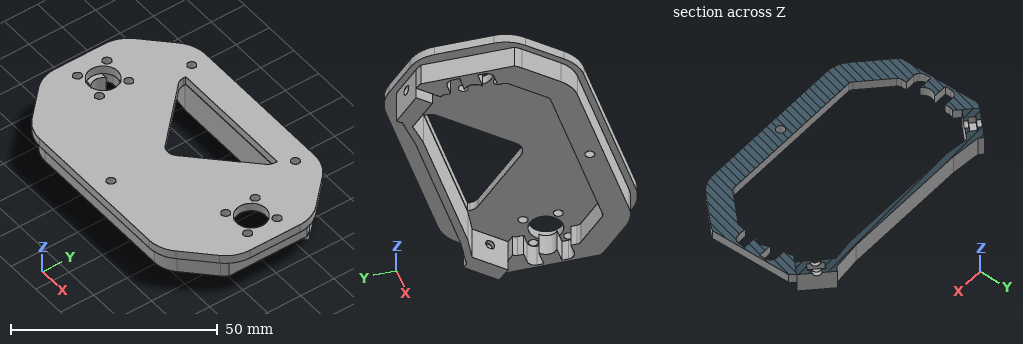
import cadquery as cq
import math

plate_length = 79.2
plate_width = 50.0
corner_cut = 13.4
corner_radius = 10.0
total_height = 11.5
plate_thickness = 2.5
frame_height = 5.95

frame_inset = 1.7
frame_inner_inset = 8.4
frame_half_length = 36.75

small_hole_diameter = 2.4
rear_screw_x = 21.0

mount_x = 30.0
mount_bore = 8.6
mount_hole_spacing = 8.9
notch_size = 11.9
notch_corner_radius = 2.0
tab_width = 4.6
tab_bore = 5.8

window_half_length = 18.5
window_back_y = 16.3
window_apex_y = -2.85
window_corner_diameter = 6.4

block_length = 9.9
block_depth = 4.4
block_hole_height = 6.0
nut_slot_skin = 1.3
nut_slot_thickness = 2.0
nut_slot_width = 4.4

rear_wall_front_y = 16.4
rear_wall_thickness = 2.0
rear_wall_half_length = 18.9

plate_bottom = total_height - plate_thickness
frame_bottom = plate_bottom - frame_height
frame_mid_inset = (frame_inset + frame_inner_inset) / 2
screw_y = plate_width / 2 - frame_mid_inset

screw_points = [(0, -screw_y), (-rear_screw_x, screw_y), (rear_screw_x, screw_y)]
sides = (-1, 1)

sin45 = math.sin(math.pi / 4)
round_tangent = corner_radius * math.tan(math.pi / 8)
block_start_x = plate_length / 2 - (round_tangent + frame_inset) * sin45
block_start_y = plate_width / 2 - corner_cut + (round_tangent - frame_inset) * sin45


def block_point(along, depth):
    """Point of the right-hand block, along the corner cut and inward from it."""
    return (
        block_start_x - (along + depth) * sin45,
        block_start_y + (along - depth) * sin45,
    )


def outline_prism(inset, bottom, height):
    """Prism with the plate outline moved inward by the inset."""
    prism = (
        cq.Workplane("XY")
        .box(plate_length, plate_width, height, centered=(True, True, False))
        .edges("|Z")
        .chamfer(corner_cut)
        .edges("|Z")
        .fillet(corner_radius)
    )
    outline = prism.faces("<Z").wires().val()
    if inset:
        outline = outline.offset2D(-inset)[0]
    face = cq.Face.makeFromWires(outline)
    solid = cq.Solid.extrudeLinear(face, cq.Vector(0, 0, height))
    return cq.Workplane(obj=solid.translate(cq.Vector(0, 0, bottom)))


def upright_cylinders(points, diameter):
    """Vertical cutters through the full height."""
    return cq.Workplane("XY").pushPoints(points).circle(diameter / 2).extrude(total_height)


def window_cutter():
    """Triangular window with a rounded apex and rounded lower side corners."""
    window_radius = window_corner_diameter / 2
    apex_rounding = window_radius * (1 / sin45 - 1)
    sharp_apex_y = window_apex_y - apex_rounding
    side_y = sharp_apex_y + window_half_length
    cutter = (
        cq.Workplane("XY")
        .polyline([
            (-window_half_length, window_back_y),
            (-window_half_length, side_y),
            (0, sharp_apex_y),
            (window_half_length, side_y),
            (window_half_length, window_back_y),
        ])
        .close()
        .extrude(total_height)
    )
    rounded = cutter.edges("|Z").edges(cq.selectors.BoxSelector(
        (-plate_length, -plate_width, 0),
        (plate_length, (side_y + window_back_y) / 2, total_height),
    ))
    return rounded.fillet(window_radius)


def make_plate():
    plate = outline_prism(0, plate_bottom, plate_thickness)
    plate = plate.cut(window_cutter())
    plate = plate.cut(upright_cylinders(screw_points, small_hole_diameter))
    half_spacing = mount_hole_spacing / 2
    for side in sides:
        centre = side * mount_x
        corners = [(centre + i * half_spacing, j * half_spacing) for i in sides for j in sides]
        plate = plate.cut(upright_cylinders([(centre, 0)], mount_bore))
        plate = plate.cut(upright_cylinders(corners, small_hole_diameter))
    return plate


def mount_notch(side):
    """Square notch around one mount, leaving the tongue on its outer side."""
    notch = (
        cq.Workplane("XY")
        .center(side * mount_x, 0)
        .rect(notch_size, notch_size)
        .extrude(total_height)
        .edges("|Z")
        .fillet(notch_corner_radius)
    )
    tongue = (
        cq.Workplane("XY")
        .center(side * (mount_x + notch_size / 2), 0)
        .rect(notch_size, tab_width)
        .extrude(total_height)
        .cut(upright_cylinders([(side * mount_x, 0)], tab_bore))
    )
    return notch.cut(tongue)


def make_frame():
    frame = outline_prism(frame_inset, frame_bottom, frame_height)
    frame = frame.cut(outline_prism(frame_inner_inset, frame_bottom, frame_height))
    frame = frame.intersect(
        cq.Workplane("XY").box(2 * frame_half_length, plate_width, 2 * total_height)
    )

    end_x, end_y = block_point(0, 0)
    rear_opening = (
        cq.Workplane("XY")
        .polyline([
            (-end_x - plate_width, end_y + plate_width),
            (-end_x, end_y),
            (-end_x + end_y, 0),
            (end_x - end_y, 0),
            (end_x, end_y),
            (end_x + plate_width, end_y + plate_width),
        ])
        .close()
        .extrude(total_height)
    )
    frame = frame.cut(rear_opening)
    for side in sides:
        frame = frame.cut(mount_notch(side))
    return frame.cut(upright_cylinders(screw_points[:1], small_hole_diameter))


def block_prism(along_start, along_end, depth_start, depth_end, bottom):
    """Upright box lined up with the right-hand corner cut, up to the plate."""
    return (
        cq.Workplane("XY")
        .workplane(offset=bottom)
        .polyline([
            block_point(along_start, depth_start),
            block_point(along_end, depth_start),
            block_point(along_end, depth_end),
            block_point(along_start, depth_end),
        ])
        .close()
        .extrude(plate_bottom - bottom)
    )


def make_block():
    """Right-hand block with its screw hole and a nut slot open at the top."""
    block = block_prism(0, block_length, 0, block_depth, 0)
    middle = block_length / 2
    hole_x, hole_y = block_point(middle, 0)
    hole = cq.Solid.makeCylinder(
        small_hole_diameter / 2,
        block_depth,
        cq.Vector(hole_x, hole_y, block_hole_height),
        cq.Vector(-1, -1, 0),
    )
    slot = block_prism(
        middle - nut_slot_width / 2,
        middle + nut_slot_width / 2,
        nut_slot_skin,
        nut_slot_skin + nut_slot_thickness,
        block_hole_height - nut_slot_width / 2,
    )
    return block.cut(cq.Workplane(obj=hole)).cut(slot)


def make_rear_bracket():
    """Thin rear wall, bent slightly backward at both ends, between two blocks."""
    joint_x, joint_y = block_point(block_length, block_depth)
    outer_x = joint_x + rear_wall_thickness
    outer_y = joint_y + rear_wall_thickness
    wall_back_y = rear_wall_front_y + rear_wall_thickness
    wall = (
        cq.Workplane("XY")
        .polyline([
            (-joint_x, joint_y),
            (-rear_wall_half_length, rear_wall_front_y),
            (rear_wall_half_length, rear_wall_front_y),
            (joint_x, joint_y),
            (outer_x, outer_y),
            (rear_wall_half_length, wall_back_y),
            (-rear_wall_half_length, wall_back_y),
            (-outer_x, outer_y),
        ])
        .close()
        .extrude(plate_bottom)
    )
    right_block = make_block()
    return wall.union(right_block).union(right_block.mirror("YZ"))


plate = make_plate()
frame = make_frame()
rear_bracket = make_rear_bracket()
result = cq.Compound.makeCompound([plate.val(), frame.val(), rear_bracket.val()])